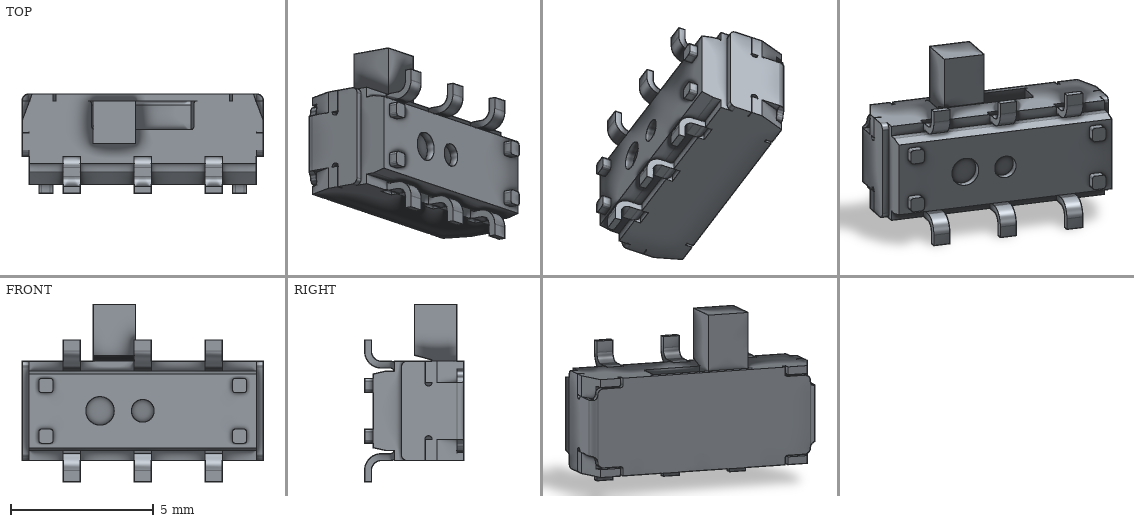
import cadquery as cq
import math


LENGTH = 8.5
COVER_HEIGHT = 3.5
COVER_DEPTH = 2.45
SHEET = 0.25
EAR_DEPTH = COVER_DEPTH - SHEET
EAR_RADIUS = 0.2
HALF_LENGTH = LENGTH / 2
HALF_HEIGHT = COVER_HEIGHT / 2
BODY_LENGTH = LENGTH - 2 * SHEET
HALF_BODY = BODY_LENGTH / 2

BEVEL_X = 0.36
BEVEL_DEPTH = 0.95
TAB_HALF_HEIGHT = 1.0
RELIEF_RADIUS = 0.2
RELIEF_TOP = TAB_HALF_HEIGHT + 2 * RELIEF_RADIUS
RELIEF_GAP = 0.06
NOTCH_X = 3.05
NOTCH_WIDTH = 0.1

SLIT_END_RADIUS = 0.13
SLIT_END_DEPTH = 1.25
SLIT_WIDTH = 0.02

BASE_DEPTH = 3.2
BASE_HALF_HEIGHT = 1.4
TAPER_DEPTH = 2.745
FACE_HALF_HEIGHT = 1.3
TOTAL_DEPTH = 3.5
PEG_SIZE = 0.5
PEG_RADIUS = 0.1
PEG_ROOT = 0.085
PEG_X = 3.41
PEG_Z = 0.89
HOLE_DEPTH = 0.3
LARGE_HOLE_DIAMETER = 1.0
LARGE_HOLE_X = -1.505
SMALL_HOLE_DIAMETER = 0.8

LEG_WIDTH = 0.6
LEG_PITCH = 2.5
LEG_THICKNESS = SHEET
LEG_TIP_Z = 2.5
ROOT_BEND = 0.15
TIP_BEND = 0.35

TRAVEL = 2.01
KNOB_X = -TRAVEL / 2
KNOB_LENGTH = 1.5
KNOB_DEPTH = 1.5
KNOB_TOP_Z = 3.75
KNOB_CLEARANCE = 0.05
KNOB_OVERHANG_GAP = 0.2
NECK_DEPTH = 0.89
OVERHANG_ANGLE = 15.0
CARRIAGE_HALF_LENGTH = 2.7
CARRIAGE_DEPTH = 1.0
CARRIAGE_CHAMFER = 0.15
WALL = 0.36
CAVITY_BACK = SHEET
CAVITY_FRONT = CAVITY_BACK + CARRIAGE_DEPTH
CAVITY_HALF_HEIGHT = HALF_HEIGHT - WALL
CAVITY_LENGTH = 2 * (CARRIAGE_HALF_LENGTH + TRAVEL / 2 + KNOB_CLEARANCE)
OPENING_LENGTH = KNOB_LENGTH + TRAVEL + 2 * KNOB_CLEARANCE
OPENING_RADIUS = 0.1

DIAGONAL = math.sqrt(0.5)


def block(x_range, depth_range, z_range):
    """Box between two X values, two depths and two Z values."""
    size_x = x_range[1] - x_range[0]
    size_y = depth_range[1] - depth_range[0]
    size_z = z_range[1] - z_range[0]
    corner = (x_range[0], -depth_range[1], z_range[0])
    return cq.Workplane("XY").box(size_x, size_y, size_z, centered=False).translate(corner)


def mirrored_in_z(shape):
    return shape.union(shape.mirror("XY"))


def at_four_corners(shape):
    upper = shape.union(shape.mirror("YZ"))
    return mirrored_in_z(upper)


def make_cover():
    heights = (-HALF_HEIGHT, HALF_HEIGHT)
    ears = block((-HALF_LENGTH, HALF_LENGTH), (0, EAR_DEPTH), heights)
    ears = ears.edges("|Z and >Y").fillet(SHEET)
    ears = ears.edges("|X and <Y").fillet(EAR_RADIUS)
    return ears.union(block((-HALF_BODY, HALF_BODY), (0, COVER_DEPTH), heights))


def make_base():
    return (
        cq.Workplane("YZ")
        .moveTo(-CAVITY_FRONT, -BASE_HALF_HEIGHT)
        .lineTo(-TAPER_DEPTH, -BASE_HALF_HEIGHT)
        .lineTo(-BASE_DEPTH, -FACE_HALF_HEIGHT)
        .lineTo(-BASE_DEPTH, FACE_HALF_HEIGHT)
        .lineTo(-TAPER_DEPTH, BASE_HALF_HEIGHT)
        .lineTo(-CAVITY_FRONT, BASE_HALF_HEIGHT)
        .close()
        .extrude(HALF_BODY, both=True)
    )


def make_pegs():
    peg_depths = (BASE_DEPTH - PEG_ROOT, TOTAL_DEPTH)
    half = PEG_SIZE / 2
    peg = block((PEG_X - half, PEG_X + half), peg_depths, (PEG_Z - half, PEG_Z + half))
    return at_four_corners(peg.edges("|Y").fillet(PEG_RADIUS))


def blind_hole(x, diameter):
    face = cq.Workplane("XZ", origin=(x, -BASE_DEPTH, 0))
    return face.circle(diameter / 2).extrude(-HOLE_DEPTH)


def corner_bevel():
    """Wedge off a back corner; the back sheet below the relief gap stays whole."""
    wedge = (
        cq.Workplane("XY", origin=(0, 0, TAB_HALF_HEIGHT))
        .moveTo(HALF_LENGTH - BEVEL_X, 0)
        .lineTo(HALF_LENGTH, -BEVEL_DEPTH)
        .lineTo(HALF_LENGTH, 0)
        .close()
        .extrude(HALF_HEIGHT - TAB_HALF_HEIGHT)
    )
    kept_heights = (TAB_HALF_HEIGHT, RELIEF_TOP + RELIEF_GAP)
    return wedge.cut(block((0, HALF_LENGTH), (0, SHEET), kept_heights))


def corner_relief():
    """Bend relief through the back sheet: S-shaped end, thin gap and upright notch."""
    bend_x = HALF_BODY
    foot_x = bend_x + RELIEF_RADIUS
    crest_x = bend_x - RELIEF_RADIUS
    middle_z = TAB_HALF_HEIGHT + RELIEF_RADIUS
    reach = RELIEF_RADIUS * DIAGONAL
    notch_reach = NOTCH_WIDTH * (1 - DIAGONAL)
    return (
        cq.Workplane("XZ")
        .moveTo(HALF_LENGTH, TAB_HALF_HEIGHT)
        .lineTo(foot_x, TAB_HALF_HEIGHT)
        .threePointArc((foot_x - reach, middle_z - reach), (bend_x, middle_z))
        .threePointArc((crest_x + reach, middle_z + reach), (crest_x, RELIEF_TOP))
        .lineTo(NOTCH_X + NOTCH_WIDTH, RELIEF_TOP)
        .threePointArc(
            (NOTCH_X + notch_reach, RELIEF_TOP + notch_reach),
            (NOTCH_X, RELIEF_TOP + NOTCH_WIDTH),
        )
        .lineTo(NOTCH_X, HALF_HEIGHT)
        .lineTo(NOTCH_X + NOTCH_WIDTH, HALF_HEIGHT)
        .lineTo(NOTCH_X + NOTCH_WIDTH, RELIEF_TOP + RELIEF_GAP)
        .lineTo(HALF_LENGTH, RELIEF_TOP + RELIEF_GAP)
        .close()
        .extrude(SHEET)
    )


def end_slit():
    front = SLIT_END_DEPTH + SLIT_END_RADIUS
    back = SLIT_END_DEPTH - SLIT_END_RADIUS
    return (
        cq.Workplane("YZ", origin=(HALF_BODY, 0, 0))
        .moveTo(-back, TAB_HALF_HEIGHT)
        .threePointArc((-SLIT_END_DEPTH, TAB_HALF_HEIGHT - SLIT_END_RADIUS), (-front, TAB_HALF_HEIGHT))
        .lineTo(-front, HALF_HEIGHT)
        .lineTo(-front + SLIT_WIDTH, HALF_HEIGHT)
        .lineTo(-front + SLIT_WIDTH, TAB_HALF_HEIGHT)
        .close()
        .extrude(SHEET)
    )


def slider_cavity():
    half_length = CAVITY_LENGTH / 2
    heights = (-CAVITY_HALF_HEIGHT, CAVITY_HALF_HEIGHT)
    return block((-half_length, half_length), (CAVITY_BACK, CAVITY_FRONT), heights)


def knob_opening():
    """Slot through the top wall, rounded at the front and flared where it meets the back sheet."""
    half = OPENING_LENGTH / 2
    flare_end = half + OPENING_RADIUS
    flare_front = CAVITY_BACK + OPENING_RADIUS
    height = (CAVITY_HALF_HEIGHT, HALF_HEIGHT)
    slot = block((-half, half), (CAVITY_BACK, CAVITY_FRONT), height)
    slot = slot.edges("|Z and <Y").fillet(OPENING_RADIUS)
    flare = block((half, flare_end), (CAVITY_BACK, flare_front), height)
    rounding = (
        cq.Workplane("XY", origin=(flare_end, -flare_front, CAVITY_HALF_HEIGHT))
        .circle(OPENING_RADIUS)
        .extrude(WALL)
    )
    flare = flare.cut(rounding)
    return slot.union(flare).union(flare.mirror("YZ"))


def leg_pocket(x):
    root_radius = ROOT_BEND + LEG_THICKNESS
    half = LEG_WIDTH / 2
    heights = (HALF_HEIGHT - root_radius, HALF_HEIGHT)
    return mirrored_in_z(block((x - half, x + half), (EAR_DEPTH, COVER_DEPTH), heights))


def leg_pair(x):
    """Upper and lower leg: out of the housing, forward, then away from it."""
    top = HALF_HEIGHT
    under = top - LEG_THICKNESS
    root_depth = COVER_DEPTH + ROOT_BEND
    root_z = under - ROOT_BEND
    root_outer = ROOT_BEND + LEG_THICKNESS
    tip_outer = TIP_BEND + LEG_THICKNESS
    bend_depth = TOTAL_DEPTH - tip_outer
    tip_z = top + TIP_BEND
    leg = (
        cq.Workplane("YZ", origin=(x, 0, 0))
        .moveTo(-EAR_DEPTH, root_z)
        .threePointArc(
            (-root_depth + root_outer * DIAGONAL, root_z + root_outer * DIAGONAL),
            (-root_depth, top),
        )
        .lineTo(-bend_depth, top)
        .threePointArc(
            (-bend_depth - TIP_BEND * DIAGONAL, tip_z - TIP_BEND * DIAGONAL),
            (-bend_depth - TIP_BEND, tip_z),
        )
        .lineTo(-TOTAL_DEPTH + LEG_THICKNESS, LEG_TIP_Z)
        .lineTo(-TOTAL_DEPTH, LEG_TIP_Z)
        .lineTo(-TOTAL_DEPTH, tip_z)
        .threePointArc(
            (-bend_depth - tip_outer * DIAGONAL, tip_z - tip_outer * DIAGONAL),
            (-bend_depth, under),
        )
        .lineTo(-root_depth, under)
        .threePointArc(
            (-root_depth + ROOT_BEND * DIAGONAL, root_z + ROOT_BEND * DIAGONAL),
            (-COVER_DEPTH, root_z),
        )
        .close()
        .extrude(LEG_WIDTH / 2, both=True)
    )
    return mirrored_in_z(leg)


def make_housing():
    housing = make_cover().union(make_base()).union(make_pegs())
    housing = housing.cut(blind_hole(LARGE_HOLE_X, LARGE_HOLE_DIAMETER))
    housing = housing.cut(blind_hole(0, SMALL_HOLE_DIAMETER))
    for corner_cut in (corner_bevel(), corner_relief(), end_slit()):
        housing = housing.cut(at_four_corners(corner_cut))
    housing = housing.cut(slider_cavity()).cut(knob_opening())
    for x in (-LEG_PITCH, 0, LEG_PITCH):
        housing = housing.cut(leg_pocket(x)).union(leg_pair(x))
    return housing


def make_slider():
    """Carriage inside the housing, carrying a knob that overhangs its neck at the front."""
    carriage = block(
        (KNOB_X - CARRIAGE_HALF_LENGTH, KNOB_X + CARRIAGE_HALF_LENGTH),
        (CAVITY_BACK, CAVITY_FRONT),
        (-CAVITY_HALF_HEIGHT, CAVITY_HALF_HEIGHT),
    )
    carriage = carriage.edges("|X and >Y and >Z").chamfer(CARRIAGE_CHAMFER)

    back_y = -CAVITY_BACK
    front_y = back_y - KNOB_DEPTH
    neck_y = back_y - NECK_DEPTH
    overhang_z = HALF_HEIGHT + KNOB_OVERHANG_GAP
    slope_drop = (KNOB_DEPTH - NECK_DEPTH) * math.tan(math.radians(OVERHANG_ANGLE))
    foot_z = CAVITY_HALF_HEIGHT - CARRIAGE_CHAMFER
    knob = (
        cq.Workplane("YZ", origin=(KNOB_X, 0, 0))
        .moveTo(back_y, foot_z)
        .lineTo(back_y, KNOB_TOP_Z)
        .lineTo(front_y, KNOB_TOP_Z)
        .lineTo(front_y, overhang_z)
        .lineTo(neck_y, overhang_z - slope_drop)
        .lineTo(neck_y, foot_z)
        .close()
        .extrude(KNOB_LENGTH / 2, both=True)
    )
    return carriage.union(knob)


housing = make_housing()
slider = make_slider()
result = cq.Compound.makeCompound([housing.solids().val(), slider.solids().val()])